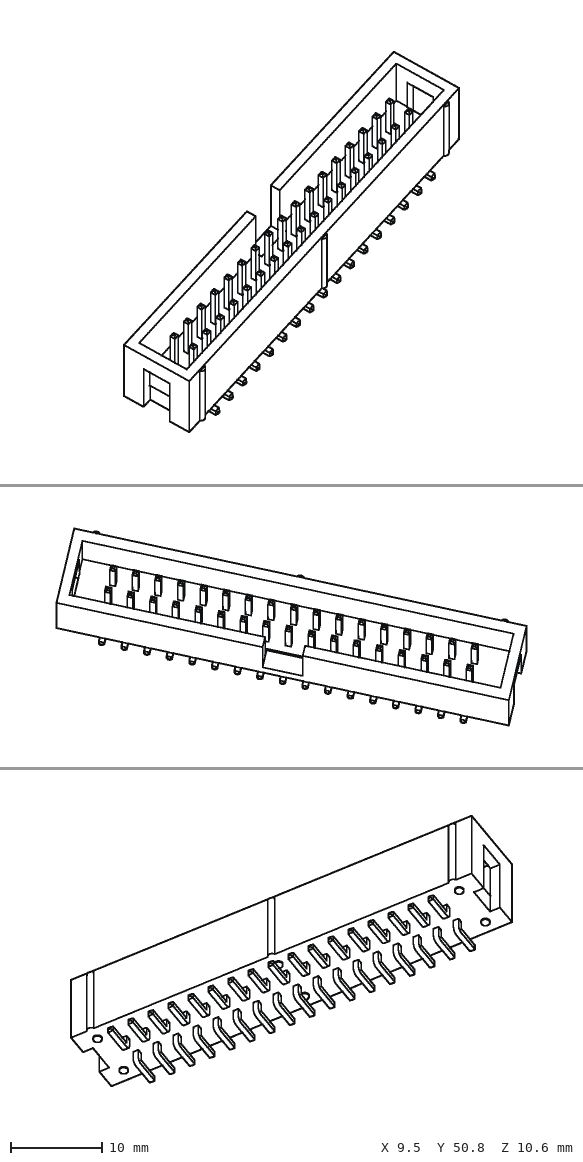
import cadquery as cq


overall_width = 9.5
overall_height = 10.6

pitch = 2.54
row_count = 17
pin_size = 0.64
pin_tip_length = 0.22
pin_tip_size = 0.24
pin_top_drop = 1.08
heel_radius = pin_size

body_width = 8.8
body_length = 50.84
body_height = 8.9
side_wall = 1.2
end_wall = 1.2
floor_height = 2.45

end_slot_width = 3.5
end_slot_height = 6.6
end_slot_depth = 1.25

notch_length = 4.5
notch_depth = 2.0
notch_floor_height = 1.85

rib_diameter = 1.0
rib_projection = 0.3
rib_top_drop = 0.3
pad_diameter = 1.0
pad_height = 0.15
pad_offset_x = 2.85
end_station_y = 22.95

base_z = overall_height - body_height
row_x = pitch / 2
pin_top_z = overall_height - pin_top_drop
station_ys = (-end_station_y, 0, end_station_y)


def block(x_range, y_range, z_range):
    """Axis-aligned box spanning the given ranges."""
    spans = (x_range, y_range, z_range)
    sizes = [high - low for low, high in spans]
    corner = tuple(low for low, high in spans)
    return cq.Workplane("XY").box(*sizes, centered=False).translate(corner)


def housing():
    """Open-topped box with a thick floor, end slots and a polarising notch."""
    half_width = body_width / 2
    half_length = body_length / 2
    cavity_x = half_width - side_wall
    cavity_y = half_length - end_wall
    floor_z = base_z + floor_height

    body = block((-half_width, half_width), (-half_length, half_length), (base_z, overall_height))
    body = body.cut(block((-cavity_x, cavity_x), (-cavity_y, cavity_y), (floor_z, overall_height)))

    end_slot = block(
        (-end_slot_width / 2, end_slot_width / 2),
        (-half_length, -half_length + end_slot_depth),
        (base_z, base_z + end_slot_height),
    )
    body = body.cut(end_slot).cut(end_slot.mirror("XZ"))

    notch = block(
        (-half_width, -half_width + notch_depth),
        (-notch_length / 2, notch_length / 2),
        (base_z + notch_floor_height, overall_height),
    )
    return body.cut(notch)


def ribs():
    """Upright cylinders partly sunk into the +X wall."""
    rib_x = body_width / 2 + rib_projection - rib_diameter / 2
    return (
        cq.Workplane("XY", origin=(0, 0, base_z))
        .pushPoints([(rib_x, y) for y in station_ys])
        .circle(rib_diameter / 2)
        .extrude(body_height - rib_top_drop)
    )


def standoff_pads():
    """Thin round pads under the housing, in two rows."""
    return (
        cq.Workplane("XY", origin=(0, 0, base_z))
        .pushPoints([(x, y) for x in (-pad_offset_x, pad_offset_x) for y in station_ys])
        .circle(pad_diameter / 2)
        .extrude(-pad_height)
    )


def tapered_tip(plane):
    """Four-sided taper that ends a pin, growing along the plane normal."""
    return (
        cq.Workplane(plane)
        .rect(pin_size, pin_size)
        .workplane(offset=pin_tip_length)
        .rect(pin_tip_size, pin_tip_size)
        .loft(combine=True)
    )


def contact_pin():
    """L-shaped pin at Y = 0 in the +X row, with its foot pointing to +X."""
    inner_x = row_x - pin_size / 2
    outer_x = row_x + pin_size / 2
    shoulder_z = pin_top_z - pin_tip_length
    foot_end_x = overall_width / 2 - pin_tip_length

    stem_and_foot = (
        cq.Workplane("XZ")
        .moveTo(inner_x, shoulder_z)
        .lineTo(outer_x, shoulder_z)
        .lineTo(outer_x, pin_size)
        .lineTo(foot_end_x, pin_size)
        .lineTo(foot_end_x, 0)
        .lineTo(inner_x + heel_radius, 0)
        .radiusArc((inner_x, heel_radius), heel_radius)
        .close()
        .extrude(pin_size / 2, both=True)
    )
    top_tip = tapered_tip(cq.Plane((row_x, 0, shoulder_z), (1, 0, 0), (0, 0, 1)))
    foot_tip = tapered_tip(cq.Plane((foot_end_x, 0, pin_size / 2), (0, 1, 0), (1, 0, 0)))
    return stem_and_foot.union(top_tip).union(foot_tip)


result = housing().union(ribs()).union(standoff_pads())

right_pin = contact_pin()
left_pin = right_pin.mirror("YZ")
for row in range(row_count):
    pin_y = (row - (row_count - 1) / 2) * pitch
    for pin in (left_pin, right_pin):
        result = result.union(pin.translate((0, pin_y, 0)))